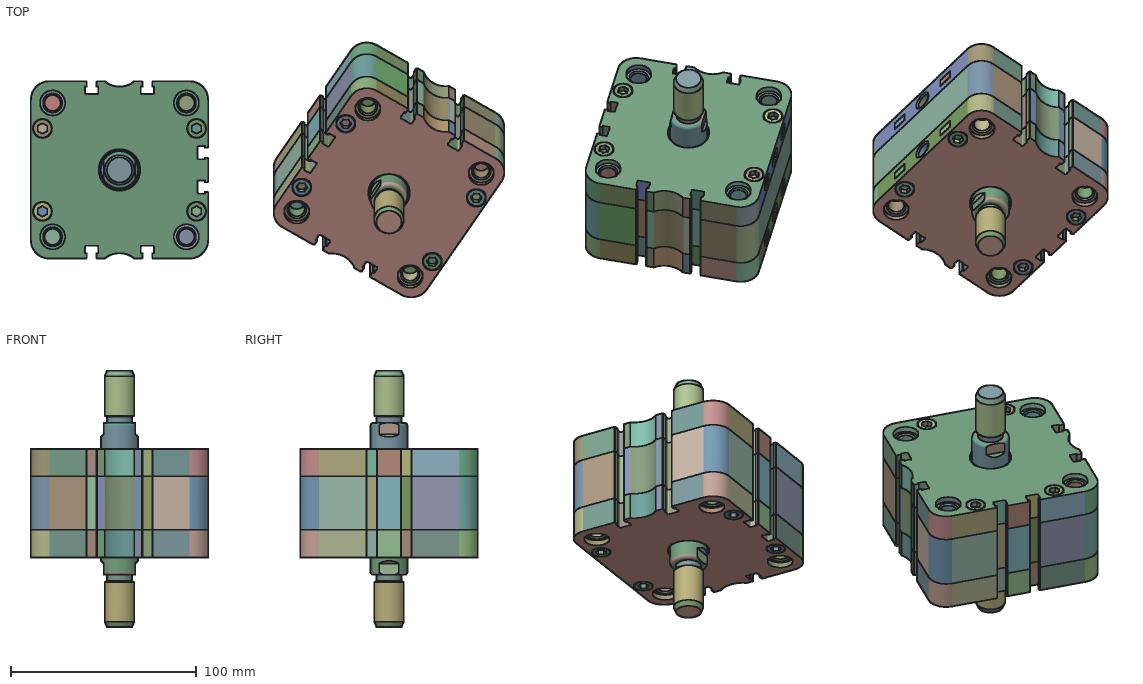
import cadquery as cq
import math

side = 95.5
half_side = side / 2
corner_radius = 10.0
cap_height = 14.9
barrel_height = 28.7
barrel_top = barrel_height / 2

slot_opening = 5.2
slot_width = 7.0
slot_lip_chamfer = 0.4
slot_floor_radius = 0.5
y_slot_spacing = 30.0
y_slot_depth = 6.9
y_slot_lip = 3.0
x_slot_spacing = 18.5
x_slot_depth = 5.7
x_slot_lip = 1.8

groove_radius = 12.5
groove_depth = 2.9
barrel_groove_edge_radius = 1.2

rod_diameter = 20.0
rod_length = 138.0
rod_shift = 2.3
thread_diameter = 16.0
thread_length = 24.2
thread_tip_diameter = 13.5
thread_tip_length = 3.0
neck_diameter = 13.5
neck_length = 3.9
neck_chamfer = 0.7
shoulder_radius = 1.7
flats_width = 17.0
flats_length = 6.1

rod_mouth_diameter = 22.4
rod_recess_diameter = 21.9
rod_recess_depth = 1.5
rod_clearance_diameter = 20.6
rod_clearance_depth = 3.0

mount_spacing = 72.0
mount_recess_diameter = 13.5
mount_recess_depth = 3.0
mount_mouth_diameter = 10.3
mount_core_diameter = 8.57
mount_depth = 13.0

screw_x_spacing = 82.9
screw_y_spacing = 44.6
screw_pocket_diameter = 10.3
screw_head_diameter = 9.8
screw_ring_depth = 1.0
socket_width = 5.0
socket_depth = 3.0

port_diameter = 8.57
port_mouth_diameter = 10.3
port_depth = 10.0
port_from_face = 7.8
field_length = 8.0
field_height = 5.0
field_spacing = 38.2
field_depth = 0.1


def t_slots(height, spacing, depth, lip):
    """A pair of T-slot cutters in the +X side, from z = 0 up to height."""
    half_opening = slot_opening / 2
    throat = (
        cq.Workplane("XY")
        .moveTo(-lip - slot_lip_chamfer, half_opening)
        .lineTo(-slot_lip_chamfer, half_opening)
        .lineTo(0, half_opening + slot_lip_chamfer)
        .lineTo(0, -half_opening - slot_lip_chamfer)
        .lineTo(-slot_lip_chamfer, -half_opening)
        .lineTo(-lip - slot_lip_chamfer, -half_opening)
        .close()
        .extrude(height)
    )
    undercut = cq.Workplane("XY").box(depth - lip, slot_width, height, centered=(False, True, False))
    undercut = undercut.edges("|Z and <X").fillet(slot_floor_radius).translate((-depth, 0, 0))
    slot = throat.union(undercut).translate((half_side, 0, 0))
    return slot.translate((0, spacing / 2, 0)).union(slot.translate((0, -spacing / 2, 0)))


def profile_block(height):
    """Square block with rounded corners, T-slots and side grooves, from z = 0 up to height."""
    block = cq.Workplane("XY").box(side, side, height, centered=(True, True, False))
    block = block.edges("|Z").fillet(corner_radius)
    block = block.cut(t_slots(height, x_slot_spacing, x_slot_depth, x_slot_lip))
    y_slots = t_slots(height, y_slot_spacing, y_slot_depth, y_slot_lip)
    groove_centre = half_side + groove_radius - groove_depth
    for turn, y in ((90, groove_centre), (-90, -groove_centre)):
        block = block.cut(y_slots.rotate((0, 0, 0), (0, 0, 1), turn))
        block = block.cut(cq.Workplane("XY").center(0, y).circle(groove_radius).extrude(height))
    return block


def cone_mouth(outer_diameter, inner_diameter):
    """45 degree countersink cutter going down from z = 0."""
    depth = (outer_diameter - inner_diameter) / 2
    cone = cq.Solid.makeCone(inner_diameter / 2, outer_diameter / 2, depth)
    return cq.Workplane("XY").add(cone).translate((0, 0, -depth))


def make_cap():
    """End cap with its joint face at z = 0 and its outer face at z = cap_height."""
    cap = profile_block(cap_height)

    opening = cq.Workplane("XY").circle(rod_diameter / 2).extrude(-cap_height)
    clearance = cq.Workplane("XY").circle(rod_clearance_diameter / 2).extrude(-rod_clearance_depth)
    recess = cq.Workplane("XY").circle(rod_recess_diameter / 2).extrude(-rod_recess_depth)
    opening = opening.union(clearance).union(recess)
    opening = opening.union(cone_mouth(rod_mouth_diameter, rod_recess_diameter))
    cap = cap.cut(opening.translate((0, 0, cap_height)))

    mount = cq.Workplane("XY").circle(mount_recess_diameter / 2).extrude(-mount_recess_depth)
    mount = mount.union(cq.Workplane("XY").circle(mount_core_diameter / 2).extrude(-mount_depth))
    mouth = cone_mouth(mount_mouth_diameter, mount_core_diameter)
    mount = mount.union(mouth.translate((0, 0, -mount_recess_depth)))
    mounts = cq.Workplane("XY", origin=(0, 0, cap_height))
    mounts = mounts.rect(mount_spacing, mount_spacing, forConstruction=True).vertices()
    cap = cap.cut(mounts.eachpoint(lambda place: mount.val().moved(place)))

    screws = cq.Workplane("XY", origin=(0, 0, cap_height))
    screws = screws.rect(screw_x_spacing, screw_y_spacing, forConstruction=True).vertices()
    ring = cq.Workplane("XY").circle(screw_pocket_diameter / 2).circle(screw_head_diameter / 2)
    ring = ring.extrude(-screw_ring_depth)
    socket = cq.Workplane("XY").polygon(6, socket_width / math.cos(math.pi / 6)).extrude(-socket_depth)
    socket = socket.rotate((0, 0, 0), (0, 0, 1), 30)
    for cutter in (ring, socket):
        cap = cap.cut(screws.eachpoint(lambda place: cutter.val().moved(place)))

    port = cq.Workplane("XY").circle(port_diameter / 2).extrude(-port_depth)
    port = port.union(cone_mouth(port_mouth_diameter, port_diameter))
    port = port.rotate((0, 0, 0), (0, 1, 0), -90)
    cap = cap.cut(port.translate((-half_side, 0, cap_height - port_from_face)))

    for y in (-field_spacing / 2, field_spacing / 2):
        field = cq.Workplane("XY").box(2 * field_depth, field_length, field_height)
        cap = cap.cut(field.translate((-half_side, y, cap_height / 2)))
    return cap


def make_barrel():
    """Barrel between the two caps, with a bore that fits the rod."""
    barrel = profile_block(barrel_height)
    search_x = groove_radius - groove_depth
    groove_edges = cq.selectors.BoxSelector((-search_x, -side, 0), (search_x, side, barrel_height))
    barrel = barrel.edges("|Z").edges(groove_edges).fillet(barrel_groove_edge_radius)
    return barrel.faces(">Z").workplane(origin=(0, 0, 0)).hole(rod_diameter).translate((0, 0, -barrel_top))


def make_rod_half():
    """Half of the symmetric rod, from its middle at z = 0 up to its threaded tip."""
    tip = rod_length / 2
    thread_start = tip - thread_length
    shoulder = thread_start - neck_length
    half = (
        cq.Workplane("XZ")
        .lineTo(rod_diameter / 2, 0)
        .lineTo(rod_diameter / 2, shoulder - shoulder_radius)
        .radiusArc((rod_diameter / 2 - shoulder_radius, shoulder), -shoulder_radius)
        .lineTo(neck_diameter / 2, shoulder)
        .lineTo(neck_diameter / 2, thread_start - neck_chamfer)
        .lineTo(thread_diameter / 2, thread_start)
        .lineTo(thread_diameter / 2, tip - thread_tip_length)
        .lineTo(thread_tip_diameter / 2, tip)
        .lineTo(0, tip)
        .close()
        .revolve(360, (0, 0, 0), (0, 1, 0))
    )
    flat_x = flats_width / 2
    runout = rod_diameter / 2 - flat_x
    flat_end = shoulder - flats_length
    flat = (
        cq.Workplane("XZ")
        .moveTo(flat_x, shoulder)
        .lineTo(flat_x, flat_end)
        .lineTo(flat_x + runout, flat_end - runout)
        .lineTo(flat_x + runout, shoulder)
        .close()
        .extrude(rod_diameter / 2, both=True)
    )
    return half.cut(flat).cut(flat.mirror("YZ"))


upper_half = make_rod_half()
rod = upper_half.union(upper_half.mirror("XY")).translate((0, 0, rod_shift))
barrel = make_barrel()
top_cap = make_cap().translate((0, 0, barrel_top))
bottom_cap = top_cap.rotate((0, 0, 0), (1, 0, 0), 180)

result = cq.Compound.makeCompound([barrel.val(), top_cap.val(), bottom_cap.val(), rod.val()])